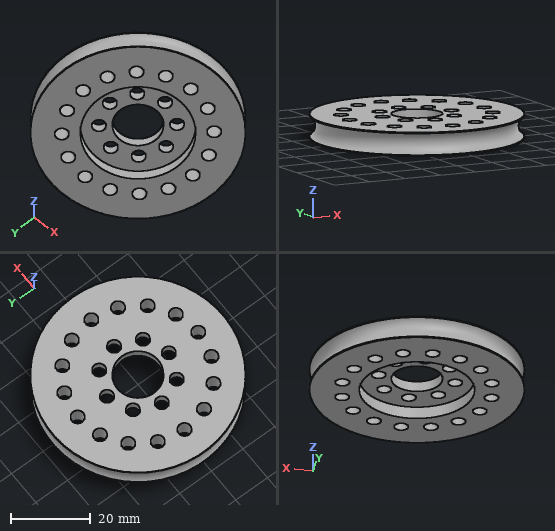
import cadquery as cq

outer_diameter = 53.8
thickness = 6.1
bore_diameter = 12.8

rim_land = 0.3
groove_depth = 1.45

web_thickness = 2.85
recess_diameter = 28.85

hole_diameter = 3.55
inner_circle_diameter = 19.55
inner_hole_count = 8
outer_circle_diameter = 38.1
outer_hole_count = 16


def grooved_disc():
    """Revolve the half section about Z, from the bore out to the rim."""
    bore_radius = bore_diameter / 2
    rim_radius = outer_diameter / 2
    half_thickness = thickness / 2
    groove_edge = half_thickness - rim_land
    section = (
        cq.Workplane("XZ")
        .moveTo(bore_radius, -half_thickness)
        .lineTo(rim_radius, -half_thickness)
        .lineTo(rim_radius, -groove_edge)
        .threePointArc((rim_radius - groove_depth, 0), (rim_radius, groove_edge))
        .lineTo(rim_radius, half_thickness)
        .lineTo(bore_radius, half_thickness)
        .close()
    )
    return section.revolve(360, (0, 0, 0), (0, 1, 0))


def hole_ring(circle_diameter, count):
    """Evenly spaced cutting cylinders through the full thickness."""
    return (
        cq.Workplane("XY")
        .polarArray(circle_diameter / 2, 0, 360, count)
        .circle(hole_diameter / 2)
        .extrude(thickness / 2, both=True)
    )


def underside_recess():
    """Cutting cylinder that leaves only the web around the bore."""
    return (
        cq.Workplane("XY", origin=(0, 0, -thickness / 2))
        .circle(recess_diameter / 2)
        .extrude(thickness - web_thickness)
    )


result = (
    grooved_disc()
    .cut(underside_recess())
    .cut(hole_ring(inner_circle_diameter, inner_hole_count))
    .cut(hole_ring(outer_circle_diameter, outer_hole_count))
)